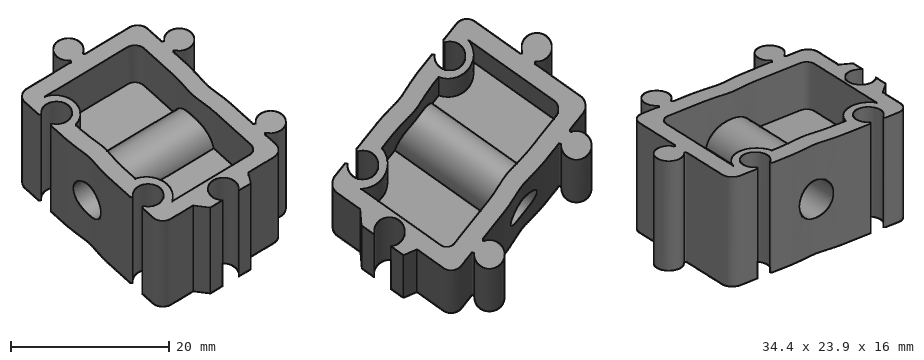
import cadquery as cq

BODY_LENGTH = 28.85
BODY_WIDTH = 20.0
BODY_HEIGHT = 16.0
CORNER_RADIUS = 1.65

WALL = 2.5
RIGHT_WALL = 2.25
POCKET_LEFT_CORNER_RADIUS = 1.5
POCKET_RIGHT_CORNER_RADIUS = 1.25
FLOOR_HEIGHT = 9.1

HOLE_DIAMETER = 5.5
HOLE_X = 14.0
HOLE_Z = BODY_HEIGHT / 2
SLEEVE_RADIUS = 4.08

WAIST_LENGTH = 8.3
WAIST_DEPTH = 0.3

KNOB_RADIUS = 1.925
SOCKET_RADIUS = 1.95
NECK_WIDTH = 2.1
LEFT_CONNECTOR_X = 5.6
RIGHT_CONNECTOR_X = 23.9
CONNECTOR_XS = (LEFT_CONNECTOR_X, RIGHT_CONNECTOR_X)
SIDE_CONNECTOR_Y = BODY_WIDTH / 2
SOCKET_LIP_RADIUS = 0.2
KNOB_ROOT_RADIUS = 0.1

SOCKET_WALL_Y = 1.65
LEFT_SOCKET_WALL_RADIUS = 3.22
RIGHT_SOCKET_WALL_RADIUS = 3.35

CLIP_REACH = 1.65
CLIP_TIP_HALF_WIDTH = 3.3
CLIP_FRONT_ROOT_Y = 5.25
CLIP_BACK_ROOT_Y = 14.2
CLIP_SOCKET_OFFSET = 0.2


def cylinder(x, y, radius):
    """Upright cylinder as tall as the block."""
    return cq.Workplane("XY").center(x, y).circle(radius).extrude(BODY_HEIGHT)


def cross_cylinder(radius):
    """Cylinder along the full width of the block, on the axis of the cross hole."""
    plane = cq.Workplane("XZ", origin=(HOLE_X, 0, HOLE_Z))
    return plane.circle(radius).extrude(-BODY_WIDTH)


def waist(wall_y, direction):
    """Lens between the wall line and a smooth dip whose ends run out along the wall."""
    half = WAIST_LENGTH / 2
    start = (HOLE_X - half, wall_y)
    middle = (HOLE_X, wall_y + direction * WAIST_DEPTH)
    end = (HOLE_X + half, wall_y)
    return (
        cq.Workplane("XY")
        .moveTo(*start)
        .spline([middle, end], tangents=[(1, 0), (1, 0)], includeCurrent=True)
        .close()
        .extrude(BODY_HEIGHT)
    )


def make_block():
    block = cq.Workplane("XY").box(BODY_LENGTH, BODY_WIDTH, BODY_HEIGHT, centered=False)
    block = block.edges("|Z").fillet(CORNER_RADIUS)
    return block.cut(waist(0, 1)).cut(waist(BODY_WIDTH, -1))


def make_pocket():
    length = BODY_LENGTH - WALL - RIGHT_WALL
    width = BODY_WIDTH - 2 * WALL
    depth = BODY_HEIGHT - FLOOR_HEIGHT
    pocket = cq.Workplane("XY").box(length, width, depth, centered=False)
    pocket = pocket.edges("|Z and >Y and <X").fillet(POCKET_LEFT_CORNER_RADIUS)
    pocket = pocket.edges("|Z and >Y and >X").fillet(POCKET_RIGHT_CORNER_RADIUS)
    pocket = pocket.translate((WALL, WALL, FLOOR_HEIGHT))
    pocket = pocket.cut(waist(WALL, 1)).cut(waist(BODY_WIDTH - WALL, -1))
    pocket = pocket.cut(cylinder(LEFT_CONNECTOR_X, SOCKET_WALL_Y, LEFT_SOCKET_WALL_RADIUS))
    pocket = pocket.cut(cylinder(RIGHT_CONNECTOR_X, SOCKET_WALL_Y, RIGHT_SOCKET_WALL_RADIUS))
    return pocket.cut(cross_cylinder(SLEEVE_RADIUS))


def make_clip():
    tip_x = BODY_LENGTH + CLIP_REACH
    root_x = BODY_LENGTH - RIGHT_WALL / 2
    outline = [
        (root_x, CLIP_FRONT_ROOT_Y),
        (BODY_LENGTH, CLIP_FRONT_ROOT_Y),
        (tip_x, SIDE_CONNECTOR_Y - CLIP_TIP_HALF_WIDTH),
        (tip_x, SIDE_CONNECTOR_Y + CLIP_TIP_HALF_WIDTH),
        (BODY_LENGTH, CLIP_BACK_ROOT_Y),
        (root_x, CLIP_BACK_ROOT_Y),
    ]
    return cq.Workplane("XY").polyline(outline).close().extrude(BODY_HEIGHT)


def make_connector(radius):
    """Cylinder touching the X axis from +Y, joined to it by a straight neck."""
    neck = cq.Workplane("XY").rect(NECK_WIDTH, 2 * radius).extrude(BODY_HEIGHT)
    return cylinder(0, radius, radius).union(neck)


def round_upright_edge(part, x, y, radius):
    """Fillet the full-height edge that stands at (x, y)."""
    edge = cq.selectors.NearestToPointSelector((x, y, BODY_HEIGHT / 2))
    return part.edges("|Z").edges(edge).fillet(radius)


def add_back_knob(part, x):
    part = part.union(make_connector(KNOB_RADIUS).translate((x, BODY_WIDTH, 0)))
    for side in (-1, 1):
        part = round_upright_edge(part, x + side * NECK_WIDTH / 2, BODY_WIDTH, KNOB_ROOT_RADIUS)
    return part


def cut_front_socket(part, x):
    part = part.cut(make_connector(SOCKET_RADIUS).translate((x, 0, 0)))
    for side in (-1, 1):
        part = round_upright_edge(part, x + side * NECK_WIDTH / 2, 0, SOCKET_LIP_RADIUS)
    return part


def add_left_knob(part):
    knob = make_connector(KNOB_RADIUS).rotate((0, 0, 0), (0, 0, 1), 90)
    part = part.union(knob.translate((0, SIDE_CONNECTOR_Y, 0)))
    for side in (-1, 1):
        part = round_upright_edge(part, 0, SIDE_CONNECTOR_Y + side * NECK_WIDTH / 2, KNOB_ROOT_RADIUS)
    return part


def add_right_clip(part):
    socket = cylinder(BODY_LENGTH + CLIP_SOCKET_OFFSET, SIDE_CONNECTOR_Y, SOCKET_RADIUS)
    return part.union(make_clip()).cut(socket)


result = make_block().cut(make_pocket())
for connector_x in CONNECTOR_XS:
    result = add_back_knob(result, connector_x)
    result = cut_front_socket(result, connector_x)
result = add_left_knob(result)
result = add_right_clip(result)
result = result.cut(cross_cylinder(HOLE_DIAMETER / 2))